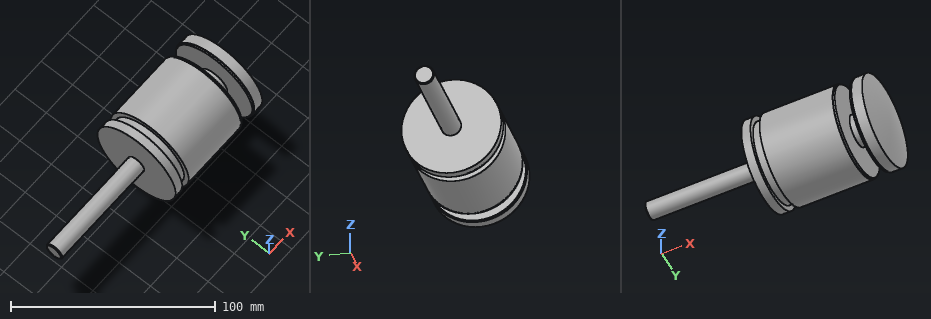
import cadquery as cq

overall_length = 131.5
body_diameter = 50.0
body_radius = body_diameter / 2

stud_diameter = 10.0
stud_length = 63.0
stud_chamfer = 0.5

flange_thickness = 5.0
collar_diameter = 44.0
collar_length = 5.0

barrel_length = 40.0

lip_diameter = 48.9
lip_thickness = 1.0
neck_diameter = 17.1
neck_length = 8.0

dome_height = 2.4

flange_start = stud_length
collar_start = flange_start + flange_thickness
barrel_start = collar_start + collar_length
near_lip_start = barrel_start + barrel_length
neck_start = near_lip_start + lip_thickness
far_lip_start = neck_start + neck_length
cap_start = far_lip_start + lip_thickness
dome_start = overall_length - dome_height


def cylinder(start, length, diameter):
    """Solid cylinder on the X axis, extending in +X from the given station."""
    return cq.Workplane("YZ", origin=(start, 0, 0)).circle(diameter / 2).extrude(length)


def make_base():
    """Chamfered stud, flange and collar in one piece; the collar meets the barrel."""
    stud = cylinder(0, stud_length, stud_diameter).faces("<X").chamfer(stud_chamfer)
    flange = cylinder(flange_start, flange_thickness, body_diameter)
    collar = cylinder(collar_start, collar_length, collar_diameter)
    return stud.union(flange).union(collar)


def make_barrel():
    """Plain cylindrical spacer."""
    return cylinder(barrel_start, barrel_length, body_diameter)


def make_bushing():
    """Bobbin-shaped bushing: a neck between two thin lips that grip the glass panel."""
    bushing = cylinder(neck_start, neck_length, neck_diameter)
    for lip_start in (near_lip_start, far_lip_start):
        bushing = bushing.union(cylinder(lip_start, lip_thickness, lip_diameter))
    return bushing


def make_cap():
    """Domed head, revolved about X from one half profile."""
    dome_radius = (body_radius**2 + dome_height**2) / (2 * dome_height)
    mid_radius = body_radius / 2
    mid_station = overall_length - dome_radius + (dome_radius**2 - mid_radius**2) ** 0.5
    return (
        cq.Workplane("XY")
        .moveTo(cap_start, 0)
        .lineTo(cap_start, body_radius)
        .lineTo(dome_start, body_radius)
        .threePointArc((mid_station, mid_radius), (overall_length, 0))
        .close()
        .revolve(360, (0, 0, 0), (1, 0, 0))
    )


base = make_base()
barrel = make_barrel()
bushing = make_bushing()
cap = make_cap()

result = cq.Compound.makeCompound([base.val(), barrel.val(), bushing.val(), cap.val()])